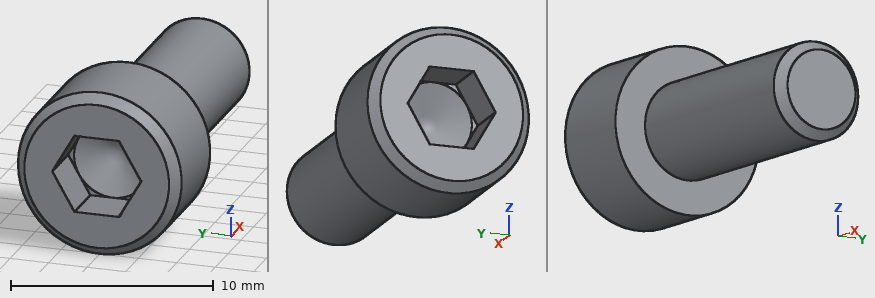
import cadquery as cq
import math

total_length = 17.0
head_diameter = 8.5
shank_diameter = 5.0
head_height = shank_diameter
shank_length = total_length - head_height
edge_chamfer = 0.5
socket_across_flats = 4.0
socket_depth = 2.5
drill_point_angle = 120.0


def make_head():
    head = cq.Workplane("YZ").circle(head_diameter / 2).extrude(-head_height)
    return head.faces("<X").chamfer(edge_chamfer)


def make_shank():
    shank = cq.Workplane("YZ").circle(shank_diameter / 2).extrude(shank_length)
    return shank.faces(">X").chamfer(edge_chamfer)


def make_socket():
    """Hexagonal recess with corners toward +Y and -Y, ending in a conical drill point."""
    across_corners = socket_across_flats / math.cos(math.radians(30))
    socket_floor = socket_depth - head_height
    hexagon = (
        cq.Workplane("YZ", origin=(-head_height, 0, 0))
        .polygon(6, across_corners)
        .extrude(socket_depth)
    )
    cone_radius = socket_across_flats / 2
    cone_depth = cone_radius / math.tan(math.radians(drill_point_angle / 2))
    cone = cq.Solid.makeCone(
        cone_radius, 0, cone_depth, cq.Vector(socket_floor, 0, 0), cq.Vector(1, 0, 0)
    )
    return hexagon.union(cone)


result = make_head().union(make_shank()).cut(make_socket())